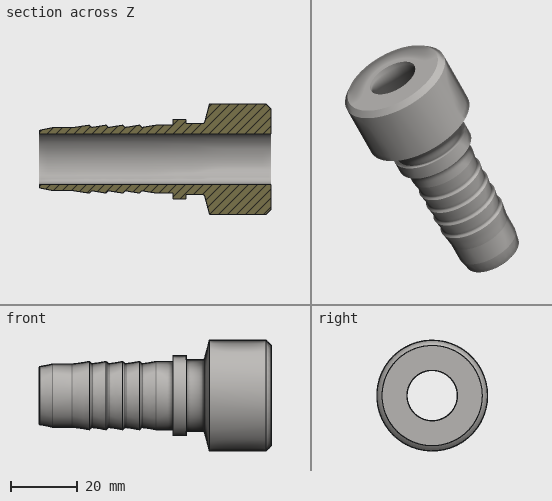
import cadquery as cq

length = 69.5
bore_radius = 15.0 / 2

tip_radius = 8.75
tip_rounding = 0.4
tip_cone_end = 4.0
root_radius = 19.0 / 2
crest_radius = 20.5 / 2
barb_start = 9.9
first_crest = 15.0
barb_pitch = 5.0
barb_count = 4
barb_back_drop = 0.5
valley_radius = 9.6
valley_blend_length = 0.4
valley_blend_rise = 0.175

collar_start = 40.0
collar_width = 4.0
collar_radius = 24.0 / 2
neck_radius = 21.5 / 2
neck_end = 49.1
neck_blend_length = 0.4
neck_blend_rise = 0.35

head_radius = 33.2 / 2
head_start = 50.95
end_chamfer = 1.6


def add_tip(profile):
    """Rounded nose, lead-in cone and plain cylinder."""
    return (
        profile.lineTo(0, tip_radius - tip_rounding)
        .tangentArcPoint((tip_rounding, tip_radius), relative=False)
        .lineTo(tip_cone_end, root_radius)
        .lineTo(barb_start, root_radius)
    )


def add_barb(profile, crest_x):
    """Ramp up to a crest, then a 45 degree back face blending into a valley."""
    valley_x = crest_x + barb_back_drop + valley_blend_length
    blend_start_radius = valley_radius + valley_blend_rise
    return (
        profile.lineTo(crest_x, crest_radius)
        .lineTo(crest_x + barb_back_drop, blend_start_radius)
        .tangentArcPoint((valley_x, valley_radius), relative=False)
    )


def add_collar_and_neck(profile):
    """Square collar, then a neck with a small fillet at the head."""
    collar_end = collar_start + collar_width
    blend_end = (neck_end + neck_blend_length, neck_radius + neck_blend_rise)
    return (
        profile.lineTo(collar_start, crest_radius)
        .lineTo(collar_start, collar_radius)
        .lineTo(collar_end, collar_radius)
        .lineTo(collar_end, neck_radius)
        .lineTo(neck_end, neck_radius)
        .tangentArcPoint(blend_end, relative=False)
    )


def add_head(profile):
    """Conical shoulder, large cylinder and end chamfer."""
    return (
        profile.lineTo(head_start, head_radius)
        .lineTo(length - end_chamfer, head_radius)
        .lineTo(length, head_radius - end_chamfer)
        .lineTo(length, bore_radius)
    )


profile = add_tip(cq.Workplane("XY").moveTo(0, bore_radius))
for index in range(barb_count):
    profile = add_barb(profile, first_crest + index * barb_pitch)
profile = profile.lineTo(first_crest + barb_count * barb_pitch, crest_radius)
profile = add_head(add_collar_and_neck(profile))

result = profile.close().revolve(360, (0, 0, 0), (1, 0, 0))